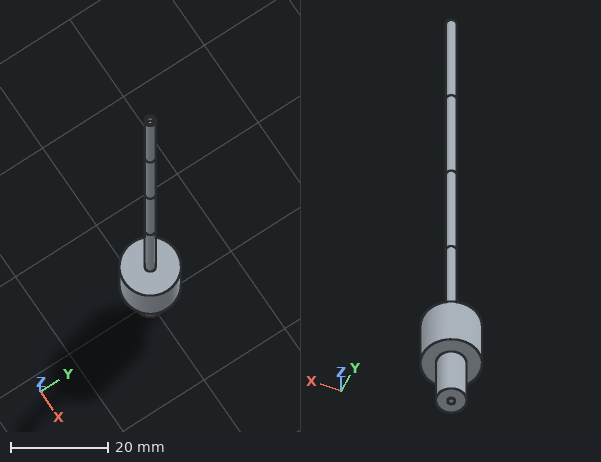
import cadquery as cq

total_length = 127.0
wire_protrusion = 0.3
wire_recess = 2.5
sleeve_count = 4
sleeve_length = 25.4

head_diameter = 12.7
stub_diameter = 6.4
sleeve_diameter = 2.3
wire_diameter = 1.5

head_top = total_length - sleeve_count * sleeve_length
head_height = 12.7
head_bottom = head_top - head_height


def cylinder(diameter, bottom, top):
    """Upright cylinder on the Z axis between two heights."""
    return cq.Workplane("XY").workplane(offset=bottom).circle(diameter / 2).extrude(top - bottom)


def make_housing():
    """Wide head on a narrow stub, with a close-fitting bore for the wire."""
    head = cylinder(head_diameter, head_bottom, head_top)
    stub = cylinder(stub_diameter, wire_protrusion, head_bottom)
    bore = cylinder(wire_diameter, wire_protrusion, head_top)
    return head.union(stub).cut(bore)


def make_wire():
    """Straight core wire from below the stub to just short of the top sleeve's open end."""
    return cylinder(wire_diameter, 0, total_length - wire_recess)


def make_sleeve(index):
    """One tubular sleeve on the wire, counted upward from the head."""
    bottom = head_top + index * sleeve_length
    top = bottom + sleeve_length
    return cylinder(sleeve_diameter, bottom, top).cut(cylinder(wire_diameter, bottom, top))


housing = make_housing()
wire = make_wire()
sleeves = [make_sleeve(index) for index in range(sleeve_count)]

result = cq.Compound.makeCompound([housing.val(), wire.val(), *[sleeve.val() for sleeve in sleeves]])